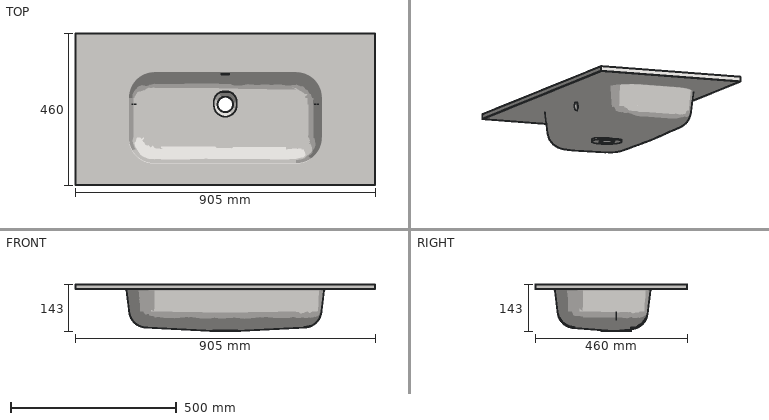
import cadquery as cq

SLAB_LENGTH = 905.0
SLAB_WIDTH = 460.0
SLAB_THICKNESS = 16.0
SLAB_EDGE_CHAMFER = 1.5
TOTAL_HEIGHT = 143.0

BASIN_CENTRE_Y = -26.0
BASIN_LENGTH = 582.0
BASIN_WIDTH = 274.0
BASIN_CORNER_RADIUS = 77.0
WALL_DRAFT = 7.0
WALL_THICKNESS = 10.0
FLOOR_THICKNESS = 9.0
FLOOR_FILLET = 44.0
RIM_FILLET = 2.0
SLAB_JOINT_FILLET = 4.0

FLOOR_EDGE_DEPTH = 119.5
VALLEY_LENGTH = 38.0

DRAIN_Y = 14.7
DRAIN_DIAMETER = 46.03
DRAIN_FUNNEL_DIAMETER = 66.0
DRAIN_LIP_HEIGHT = 2.0
FUNNEL_OVERRUN = 5.0
DRAIN_PAD_DIAMETER = 91.0
OVERFLOW_DIAMETER = 25.0
OVERFLOW_DEPTH = 42.0

DRAIN_DEPTH = TOTAL_HEIGHT - FLOOR_THICKNESS

PICK_MARGIN = 0.5


def floor_envelope(edge_depth, drain_depth):
    """Solid above the sloping floor, ruled between cross-sections along X."""
    half_length = BASIN_LENGTH / 2 + WALL_THICKNESS
    half_width = BASIN_WIDTH / 2 + WALL_THICKNESS
    front = BASIN_CENTRE_Y - half_width
    back = BASIN_CENTRE_Y + half_width

    def section(x, valley_depth):
        corners = [
            (front, 0),
            (front, -edge_depth),
            (DRAIN_Y, -valley_depth),
            (back, -edge_depth),
            (back, 0),
        ]
        return cq.Wire.makePolygon([cq.Vector(x, y, z) for y, z in corners], close=True)

    sections = [
        section(-half_length, edge_depth),
        section(-VALLEY_LENGTH / 2, drain_depth),
        section(VALLEY_LENGTH / 2, drain_depth),
        section(half_length, edge_depth),
    ]
    return cq.Workplane(cq.Solid.makeLoft(sections, True))


def is_wall_foot(edge, edge_depth, drain_depth):
    """True for an edge where a wall meets the floor, away from the drain."""
    box = edge.BoundingBox()
    middle_depth = (edge_depth + drain_depth) / 2
    return box.zmax < -edge_depth + PICK_MARGIN and box.zmin > -middle_depth


def basin_body(offset, edge_depth, drain_depth, floor_fillet):
    """Tapered basin grown outwards by offset, with a rounded sloping floor."""
    walls = (
        cq.Workplane("XY")
        .center(0, BASIN_CENTRE_Y)
        .sketch()
        .rect(BASIN_LENGTH + 2 * offset, BASIN_WIDTH + 2 * offset)
        .vertices()
        .fillet(BASIN_CORNER_RADIUS + offset)
        .finalize()
        .extrude(-(drain_depth + FLOOR_THICKNESS), taper=WALL_DRAFT)
    )
    body = walls.intersect(floor_envelope(edge_depth, drain_depth))
    wall_foot = [
        edge
        for edge in body.edges().vals()
        if is_wall_foot(edge, edge_depth, drain_depth)
    ]
    return body.newObject(wall_foot).fillet(floor_fillet)


def basin_outline_picker(offset, level):
    """Selector for the edges at one level inside the basin outline grown by offset."""
    half_length = BASIN_LENGTH / 2 + offset + PICK_MARGIN
    half_width = BASIN_WIDTH / 2 + offset + PICK_MARGIN
    return cq.selectors.BoxSelector(
        (-half_length, BASIN_CENTRE_Y - half_width, level - PICK_MARGIN),
        (half_length, BASIN_CENTRE_Y + half_width, level + PICK_MARGIN),
        boundingbox=True,
    )


def make_slab():
    """Countertop slab with every edge broken by a small chamfer."""
    return (
        cq.Workplane("XY")
        .box(SLAB_LENGTH, SLAB_WIDTH, SLAB_THICKNESS, centered=(True, True, False))
        .translate((0, 0, -SLAB_THICKNESS))
        .edges()
        .chamfer(SLAB_EDGE_CHAMFER)
    )


def make_shell():
    """Slab and basin outside in one piece, blended where the basin leaves the slab."""
    basin = basin_body(
        WALL_THICKNESS,
        FLOOR_EDGE_DEPTH + FLOOR_THICKNESS,
        TOTAL_HEIGHT,
        FLOOR_FILLET + WALL_THICKNESS,
    )
    shell = make_slab().union(basin)
    joint = basin_outline_picker(WALL_THICKNESS, -SLAB_THICKNESS)
    return shell.edges(joint).fillet(SLAB_JOINT_FILLET)


def vertical_cylinder(diameter, bottom_depth, height):
    """Cylinder on the drain axis, its base bottom_depth below the slab top."""
    return (
        cq.Workplane("XY", origin=(0, DRAIN_Y, -bottom_depth))
        .circle(diameter / 2)
        .extrude(height)
    )


def drain_cutter():
    """Conical funnel running down to a short straight drain hole."""
    hole = vertical_cylinder(DRAIN_DIAMETER, TOTAL_HEIGHT, TOTAL_HEIGHT / 2)
    funnel_depth = FLOOR_THICKNESS - DRAIN_LIP_HEIGHT
    slope = (DRAIN_FUNNEL_DIAMETER - DRAIN_DIAMETER) / 2 / funnel_depth
    cone_height = funnel_depth + FUNNEL_OVERRUN
    funnel = cq.Solid.makeCone(
        DRAIN_DIAMETER / 2,
        DRAIN_DIAMETER / 2 + slope * cone_height,
        cone_height,
        pnt=cq.Vector(0, DRAIN_Y, -TOTAL_HEIGHT + DRAIN_LIP_HEIGHT),
    )
    return hole.union(cq.Workplane(funnel))


def overflow_cutter():
    """Round overflow hole through the back wall only."""
    return (
        cq.Workplane("XZ", origin=(0, BASIN_CENTRE_Y, -OVERFLOW_DEPTH))
        .circle(OVERFLOW_DIAMETER / 2)
        .extrude(-BASIN_WIDTH)
    )


shell = make_shell()
drain_pad = vertical_cylinder(DRAIN_PAD_DIAMETER, TOTAL_HEIGHT, FLOOR_THICKNESS)
hollow = basin_body(0, FLOOR_EDGE_DEPTH, DRAIN_DEPTH, FLOOR_FILLET)

result = shell.union(drain_pad).cut(hollow)
rim = basin_outline_picker(0, 0)
result = result.edges(rim).fillet(RIM_FILLET)
result = result.cut(drain_cutter()).cut(overflow_cutter())